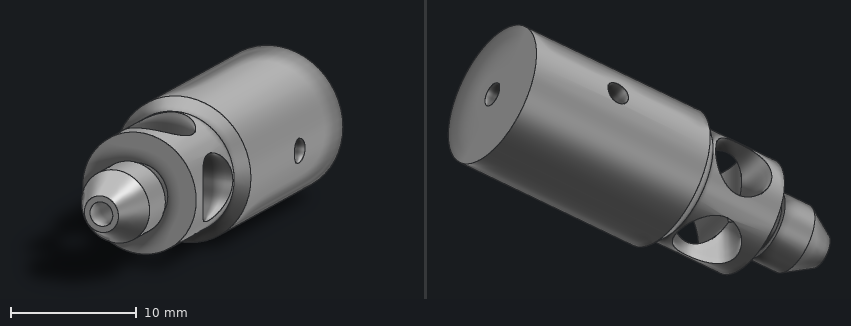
import cadquery as cq

length = 32.0

body_diameter = 12.0
cage_diameter = 10.0
neck_diameter = 5.0
collar_diameter = 6.0
tip_diameter = 3.0

collar_start = 2.6
neck_start = 5.5
cage_start = 7.0
cage_end = 14.0
body_chamfer = (body_diameter - cage_diameter) / 2
body_start = cage_end + body_chamfer

bore_diameter = 2.0
window_diameter = 5.5
window_station = 11.0
pin_hole_diameter = 2.0
pin_hole_station = 24.0


def turned_body():
    """Solid of revolution about Y, described by (radius, station) points."""
    outline = [
        (0, 0),
        (tip_diameter / 2, 0),
        (collar_diameter / 2, collar_start),
        (collar_diameter / 2, neck_start),
        (neck_diameter / 2, neck_start),
        (neck_diameter / 2, cage_start),
        (cage_diameter / 2, cage_start),
        (cage_diameter / 2, cage_end),
        (body_diameter / 2, body_start),
        (body_diameter / 2, length),
        (0, length),
    ]
    profile = cq.Workplane("XY").polyline(outline).close()
    return profile.revolve(360, (0, 0, 0), (0, 1, 0))


def axial_bore():
    """Small bore running the whole length along Y."""
    return cq.Workplane("XZ").circle(bore_diameter / 2).extrude(-length)


def cross_hole(plane, diameter, station):
    """Cylinder right across the body, square to Y, at the given station."""
    cutter = cq.Workplane(plane).circle(diameter / 2).extrude(body_diameter / 2, both=True)
    return cutter.translate((0, station, 0))


result = turned_body().cut(axial_bore())
for window_plane in ("XY", "YZ"):
    result = result.cut(cross_hole(window_plane, window_diameter, window_station))
result = result.cut(cross_hole("YZ", pin_hole_diameter, pin_hole_station))